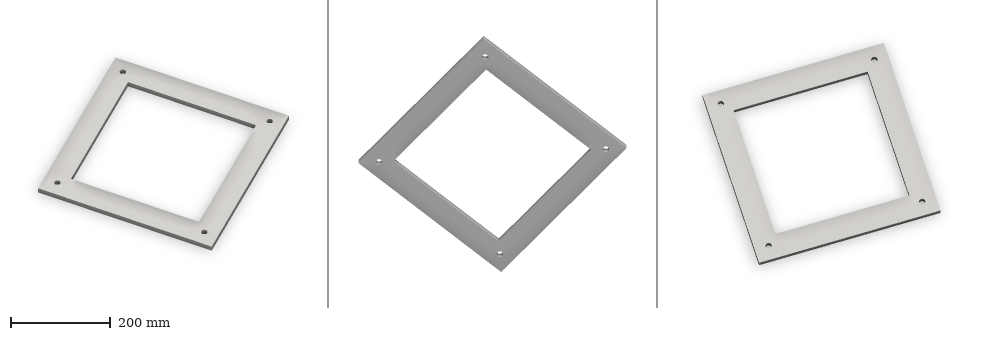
import cadquery as cq

side = 381.0
thickness = 12.5
border_width = 50.0
window_side = side - 2 * border_width

hole_diameter = 12.5
hole_edge_distance = 29.5
hole_spacing = side - 2 * hole_edge_distance

plate = cq.Workplane("XY").box(side, side, thickness)

window = cq.Workplane("XY").box(window_side, window_side, thickness)
frame = plate.cut(window)

hole_centers = cq.Workplane("XY").rect(hole_spacing, hole_spacing, forConstruction=True).vertices()
holes = hole_centers.circle(hole_diameter / 2).extrude(thickness / 2, both=True)

result = frame.cut(holes)